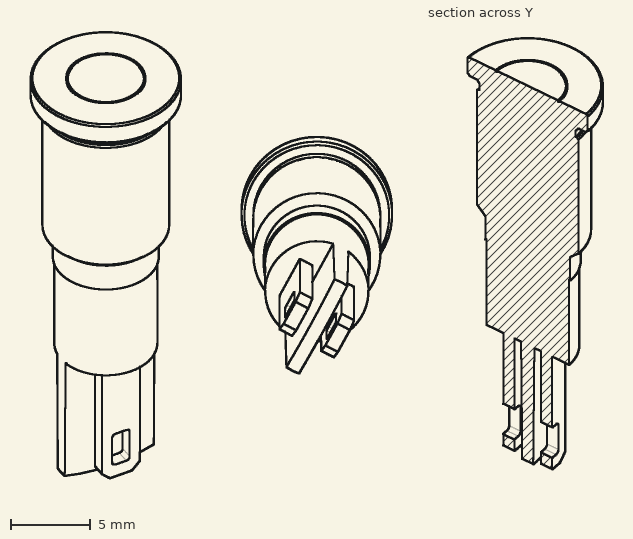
import cadquery as cq

total_height = 31.0
flange_diameter = 9.5
flange_thickness = 1.55
flange_top_chamfer = 0.12
flange_bottom_chamfer = 0.2
groove_diameter = 7.6
groove_height = 0.75
collar_diameter = 8.0
collar_height = 0.25
barrel_diameter = 8.0
barrel_top_chamfer = 0.12
cone_top = 19.15
cone_bottom = 18.55
shoulder_diameter = 6.7
shoulder_bottom = 16.62
stem_diameter = 6.5
stem_bottom = 9.6

lens_diameter = 4.8
lens_gap_diameter = 5.0
lens_gap_depth = 0.1

terminal_thickness = 0.9
terminal_width = 2.73
terminal_spacing = 2.98
terminal_bottom = 0.35
terminal_chamfer = 0.55
slot_width = 1.27
slot_bottom = 1.3
slot_top = 3.78
slot_corner_radius = 0.25

blade_root_thickness = 1.1
blade_tip_thickness = 0.9
blade_corner_height = 0.45


def make_body():
    flange_radius = flange_diameter / 2
    flange_bottom = total_height - flange_thickness
    groove_radius = groove_diameter / 2
    collar_radius = collar_diameter / 2
    barrel_radius = barrel_diameter / 2
    barrel_top = flange_bottom - groove_height
    profile = [
        (0, total_height),
        (flange_radius - flange_top_chamfer, total_height),
        (flange_radius, total_height - flange_top_chamfer),
        (flange_radius, flange_bottom + flange_bottom_chamfer),
        (flange_radius - flange_bottom_chamfer, flange_bottom),
        (collar_radius, flange_bottom),
        (groove_radius, flange_bottom - collar_height),
        (groove_radius, barrel_top),
        (barrel_radius - barrel_top_chamfer, barrel_top),
        (barrel_radius, barrel_top - barrel_top_chamfer),
        (barrel_radius, cone_top),
        (shoulder_diameter / 2, cone_bottom),
        (shoulder_diameter / 2, shoulder_bottom),
        (stem_diameter / 2, shoulder_bottom),
        (stem_diameter / 2, stem_bottom),
        (0, stem_bottom),
    ]
    return cq.Workplane("XZ").polyline(profile).close().revolve(360, (0, 0), (0, 1))


def make_lens_gap():
    return (
        cq.Workplane("XY", origin=(0, 0, total_height - lens_gap_depth))
        .circle(lens_gap_diameter / 2)
        .circle(lens_diameter / 2)
        .extrude(lens_gap_depth)
    )


def make_terminal(x_centre):
    length = stem_bottom - terminal_bottom
    terminal = (
        cq.Workplane("XY", origin=(x_centre, 0, terminal_bottom))
        .rect(terminal_thickness, terminal_width)
        .extrude(length)
        .edges("<Z and |X")
        .chamfer(terminal_chamfer)
    )
    slot = (
        cq.Workplane("XY", origin=(x_centre, 0, slot_bottom))
        .rect(terminal_thickness, slot_width)
        .extrude(slot_top - slot_bottom)
        .edges("|X")
        .fillet(slot_corner_radius)
    )
    return terminal.cut(slot)


def make_blade():
    half_width = stem_diameter / 2
    side_outline = (
        cq.Workplane("YZ")
        .moveTo(-half_width, stem_bottom)
        .lineTo(-half_width, blade_corner_height)
        .threePointArc((0, 0), (half_width, blade_corner_height))
        .lineTo(half_width, stem_bottom)
        .close()
        .extrude(blade_root_thickness / 2, both=True)
    )
    taper = (
        cq.Workplane("XZ")
        .polyline([
            (-blade_root_thickness / 2, stem_bottom),
            (-blade_tip_thickness / 2, 0),
            (blade_tip_thickness / 2, 0),
            (blade_root_thickness / 2, stem_bottom),
        ])
        .close()
        .extrude(half_width, both=True)
    )
    stem_envelope = cq.Workplane("XY").circle(half_width).extrude(stem_bottom)
    return side_outline.intersect(taper).intersect(stem_envelope)


result = make_body().cut(make_lens_gap()).union(make_blade())
for side in (-1, 1):
    result = result.union(make_terminal(side * terminal_spacing / 2))